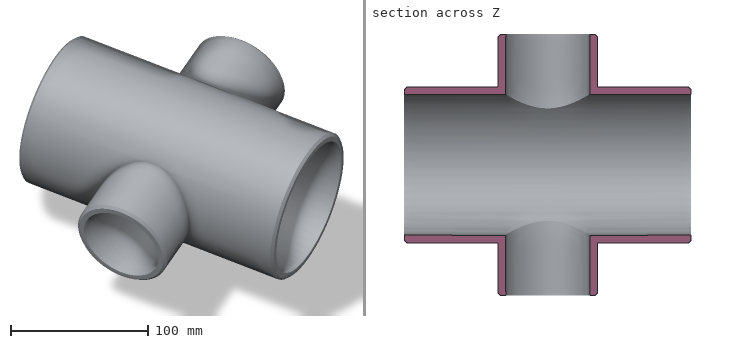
import cadquery as cq

run_length = 209.3
run_outer_diameter = 114.3
run_bore_diameter = 102.3

branch_span = 190.5
branch_outer_diameter = 73.0
branch_bore_diameter = 61.0

bevel_size = 2.0


def centred_cylinder(plane, diameter, length):
    """Solid cylinder along the plane normal, centred on the origin."""
    return cq.Workplane(plane).circle(diameter / 2).extrude(length / 2, both=True)


def bevelled_cylinder(plane, diameter, length, end_faces):
    """Centred cylinder with both end rims bevelled."""
    return centred_cylinder(plane, diameter, length).faces(end_faces).edges().chamfer(bevel_size)


run = bevelled_cylinder("YZ", run_outer_diameter, run_length, "|X")
branches = bevelled_cylinder("XZ", branch_outer_diameter, branch_span, "|Y")
body = run.union(branches)

run_bore = centred_cylinder("YZ", run_bore_diameter, run_length)
branch_bore = centred_cylinder("XZ", branch_bore_diameter, branch_span)

result = body.cut(run_bore).cut(branch_bore)